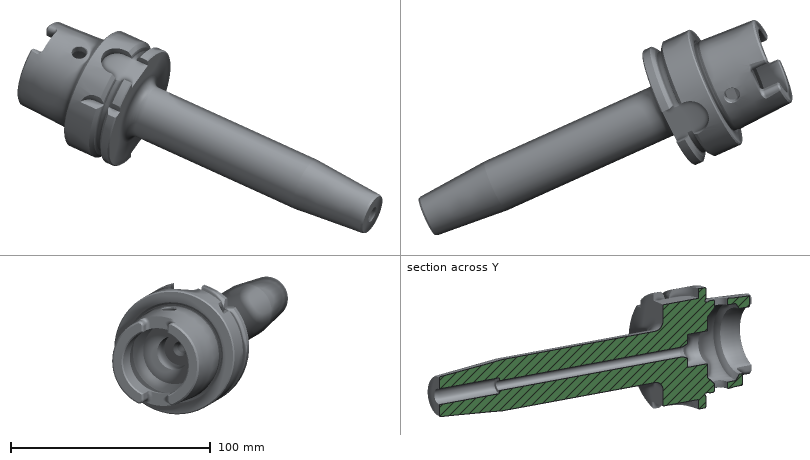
import math

import cadquery as cq


SHANK_LENGTH = 32.0
GAUGE_DIAMETER = 48.04
GAUGE_DISTANCE = 6.3
TAPER_RATIO = 0.1
SHANK_END_CHAMFER = 0.8
UNDERCUT_START = -2.4
UNDERCUT_RUN = 1.2
UNDERCUT_DEPTH = 0.4
UNDERCUT_FACE_RADIUS = 25.6
UNDERCUT_FACE_DEPTH = 0.5

FLANGE_RADIUS = 31.5
FLANGE_LENGTH = 26.0
FLANGE_CHAMFER = 0.6
GROOVE_CENTRE = 18.1
GROOVE_FLOOR_RADIUS = 27.5
GROOVE_FLOOR_WIDTH = 2.6
GROOVE_STEP_RADIUS = 29.4
GROOVE_STEP_WIDTH = 3.4
GROOVE_MOUTH_WIDTH = 6.8

NECK_RADIUS = 13.5
NECK_FILLET = 4.5
TOTAL_REACH = 160.0
NOSE_LENGTH = 38.0
NOSE_ANGLE = 4.5
NOSE_CHAMFER_LENGTH = 1.0
NOSE_CHAMFER_HEIGHT = 0.5

MOUTH_RADIUS = 17.0
MOUTH_CHAMFER = 0.6
MOUTH_END = -19.8
CLAMP_RADIUS = 20.0
CLAMP_ANGLE = 55.0
CAVITY_FLOOR = -1.0
CAVITY_FLOOR_RADIUS = 15.8
TUBE_THREAD_RADIUS = 16.92 / 2
TUBE_THREAD_DEPTH = 12.0

COOLANT_RADIUS = 4.92 / 2
COOLANT_MOUTH_RADIUS = 7.5 / 2
COOLANT_MOUTH_DEPTH = 3.0
TOOL_BORE_RADIUS = 4.0
TOOL_BORE_DEPTH = 36.0

DRIVE_SLOT_WIDTH = 12.54
DRIVE_SLOT_FLOOR_FILLET = 1.8
DRIVE_SLOT_CHAMFER = 0.8
UPPER_DRIVE_DEPTH = 6.0
LOWER_DRIVE_DEPTH = 10.0
DRIVE_FLARE_RADIUS = 2.3
DRIVE_FLARE_START = 18.6
DRIVE_FLARE_REACH = 12.0

CROSS_HOLE_X = -9.0
CROSS_HOLE_RADIUS = 7.5 / 2
CROSS_HOLE_CHAMFER = 0.5

UPPER_SLOT_WIDTH = 16.0
LOWER_SLOT_WIDTH = 18.0
FLANGE_SLOT_START = 4.8
FLANGE_SLOT_FLOOR = 26.5
NOTCH_OFFSET = 20.0
NOTCH_END_RADIUS = 7.0
NOTCH_END_CENTRE = 12.0

CLEARANCE = 1.0


def taper_radius(x):
    return GAUGE_DIAMETER / 2 + (x + GAUGE_DISTANCE) * TAPER_RATIO / 2


def revolved(points):
    return cq.Workplane("XY").polyline(points).close().revolve(360, (0, 0, 0), (1, 0, 0))


def make_body():
    shank_end = -SHANK_LENGTH
    undercut_radius = taper_radius(UNDERCUT_START) - UNDERCUT_DEPTH
    nose_start = TOTAL_REACH - NOSE_LENGTH
    nose_slope = math.tan(math.radians(NOSE_ANGLE))
    nose_edge_x = TOTAL_REACH - NOSE_CHAMFER_LENGTH
    nose_edge_radius = NECK_RADIUS - (nose_edge_x - nose_start) * nose_slope
    fillet_top = NECK_RADIUS + NECK_FILLET
    fillet_end = FLANGE_LENGTH + NECK_FILLET
    fillet_bend = NECK_FILLET * (1 - math.sqrt(0.5))
    front_outline = [
        (shank_end, 0),
        (shank_end, taper_radius(shank_end) - SHANK_END_CHAMFER),
        (shank_end + SHANK_END_CHAMFER, taper_radius(shank_end + SHANK_END_CHAMFER)),
        (UNDERCUT_START, taper_radius(UNDERCUT_START)),
        (UNDERCUT_START + UNDERCUT_RUN, undercut_radius),
        (UNDERCUT_FACE_DEPTH, undercut_radius),
        (UNDERCUT_FACE_DEPTH, UNDERCUT_FACE_RADIUS - 2 * UNDERCUT_FACE_DEPTH),
        (0, UNDERCUT_FACE_RADIUS),
        (0, FLANGE_RADIUS - FLANGE_CHAMFER),
        (FLANGE_CHAMFER, FLANGE_RADIUS),
        (GROOVE_CENTRE - GROOVE_MOUTH_WIDTH / 2, FLANGE_RADIUS),
        (GROOVE_CENTRE - GROOVE_STEP_WIDTH / 2, GROOVE_STEP_RADIUS),
        (GROOVE_CENTRE - GROOVE_FLOOR_WIDTH / 2, GROOVE_FLOOR_RADIUS),
        (GROOVE_CENTRE + GROOVE_FLOOR_WIDTH / 2, GROOVE_FLOOR_RADIUS),
        (GROOVE_CENTRE + GROOVE_STEP_WIDTH / 2, GROOVE_STEP_RADIUS),
        (GROOVE_CENTRE + GROOVE_MOUTH_WIDTH / 2, FLANGE_RADIUS),
        (FLANGE_LENGTH - FLANGE_CHAMFER, FLANGE_RADIUS),
        (FLANGE_LENGTH, FLANGE_RADIUS - FLANGE_CHAMFER),
        (FLANGE_LENGTH, fillet_top),
    ]
    return (
        cq.Workplane("XY")
        .polyline(front_outline)
        .threePointArc((FLANGE_LENGTH + fillet_bend, NECK_RADIUS + fillet_bend), (fillet_end, NECK_RADIUS))
        .lineTo(nose_start, NECK_RADIUS)
        .lineTo(nose_edge_x, nose_edge_radius)
        .lineTo(TOTAL_REACH, nose_edge_radius - NOSE_CHAMFER_HEIGHT)
        .lineTo(TOTAL_REACH, 0)
        .close()
        .revolve(360, (0, 0, 0), (1, 0, 0))
    )


def make_cavity():
    shank_end = -SHANK_LENGTH
    clamp_run = (CLAMP_RADIUS - MOUTH_RADIUS) / math.tan(math.radians(CLAMP_ANGLE))
    thread_floor = CAVITY_FLOOR + TUBE_THREAD_DEPTH
    coolant_start = thread_floor + COOLANT_MOUTH_DEPTH
    bore_start = TOTAL_REACH - TOOL_BORE_DEPTH
    return revolved([
        (shank_end, 0),
        (shank_end, MOUTH_RADIUS + MOUTH_CHAMFER),
        (shank_end + MOUTH_CHAMFER, MOUTH_RADIUS),
        (MOUTH_END, MOUTH_RADIUS),
        (MOUTH_END + clamp_run, CLAMP_RADIUS),
        (CAVITY_FLOOR - CLAMP_RADIUS + CAVITY_FLOOR_RADIUS, CLAMP_RADIUS),
        (CAVITY_FLOOR, CAVITY_FLOOR_RADIUS),
        (CAVITY_FLOOR, TUBE_THREAD_RADIUS),
        (thread_floor, TUBE_THREAD_RADIUS),
        (thread_floor, COOLANT_MOUTH_RADIUS),
        (coolant_start, COOLANT_RADIUS),
        (bore_start, COOLANT_RADIUS),
        (bore_start, TOOL_BORE_RADIUS),
        (TOTAL_REACH, TOOL_BORE_RADIUS),
        (TOTAL_REACH, 0),
    ])


def drive_slot_outline(plane):
    """Slot cross-section towards +Z: upright walls that round outwards near the shank surface."""
    half_width = DRIVE_SLOT_WIDTH / 2
    flare_half = half_width + DRIVE_FLARE_RADIUS
    flare_top = DRIVE_FLARE_START + DRIVE_FLARE_RADIUS
    bend = DRIVE_FLARE_RADIUS * (1 - math.sqrt(0.5))
    return (
        cq.Workplane(plane)
        .moveTo(-half_width, 0)
        .lineTo(-half_width, DRIVE_FLARE_START)
        .threePointArc((-half_width - bend, flare_top - bend), (-flare_half, flare_top))
        .lineTo(-DRIVE_FLARE_REACH, flare_top)
        .lineTo(-DRIVE_FLARE_REACH, FLANGE_RADIUS)
        .lineTo(DRIVE_FLARE_REACH, FLANGE_RADIUS)
        .lineTo(DRIVE_FLARE_REACH, flare_top)
        .lineTo(flare_half, flare_top)
        .threePointArc((half_width + bend, flare_top - bend), (half_width, DRIVE_FLARE_START))
        .lineTo(half_width, 0)
        .close()
    )


def make_drive_slot(depth):
    """Slot of the given depth into the shank end on +Z, with a filleted floor and chamfered mouth."""
    floor_x = -SHANK_LENGTH + depth
    chamfer_x = -SHANK_LENGTH + DRIVE_SLOT_CHAMFER
    floor_plane = cq.Plane(origin=(floor_x, 0, 0), xDir=(0, -1, 0), normal=(-1, 0, 0))
    chamfer_plane = cq.Plane(origin=(chamfer_x, 0, 0), xDir=(0, -1, 0), normal=(-1, 0, 0))
    slot = drive_slot_outline(floor_plane).extrude(depth)
    slot = slot.faces(">X").edges("(not <Z) and (not >Z)").fillet(DRIVE_SLOT_FLOOR_FILLET)
    mouth = drive_slot_outline(chamfer_plane).extrude(DRIVE_SLOT_CHAMFER, taper=-45)
    return slot.union(mouth)


def make_cross_hole():
    """Hole along Z through both shank walls, with countersunk mouths."""
    surface = taper_radius(CROSS_HOLE_X)
    mouth = CROSS_HOLE_RADIUS + CROSS_HOLE_CHAMFER
    outline = [
        (0, -FLANGE_RADIUS),
        (mouth, -FLANGE_RADIUS),
        (mouth, -surface),
        (CROSS_HOLE_RADIUS, -surface + CROSS_HOLE_CHAMFER),
        (CROSS_HOLE_RADIUS, surface - CROSS_HOLE_CHAMFER),
        (mouth, surface),
        (mouth, FLANGE_RADIUS),
        (0, FLANGE_RADIUS),
    ]
    hole = cq.Workplane("XZ").polyline(outline).close().revolve(360, (0, 0, 0), (0, 1, 0))
    return hole.translate((CROSS_HOLE_X, 0, 0))


def make_flange_slot(width):
    """Flat-floored slot on +Z, round at its front end and open at the rear flange face."""
    radius = width / 2
    centre = FLANGE_SLOT_START + radius
    end = FLANGE_LENGTH + CLEARANCE
    return (
        cq.Workplane("XY", origin=(0, 0, FLANGE_SLOT_FLOOR))
        .moveTo(centre, radius)
        .threePointArc((FLANGE_SLOT_START, 0), (centre, -radius))
        .lineTo(end, -radius)
        .lineTo(end, radius)
        .close()
        .extrude(FLANGE_RADIUS - FLANGE_SLOT_FLOOR + CLEARANCE)
    )


def make_notch():
    """Corner notch towards -Y and +Z with one level floor and one upright wall."""
    centre_y = -NOTCH_OFFSET - NOTCH_END_RADIUS
    outer_y = -FLANGE_RADIUS - CLEARANCE
    end = FLANGE_LENGTH + CLEARANCE
    tip_x = NOTCH_END_CENTRE - NOTCH_END_RADIUS
    bend = NOTCH_END_RADIUS * math.sqrt(0.5)
    return (
        cq.Workplane("XY", origin=(0, 0, NOTCH_OFFSET))
        .moveTo(NOTCH_END_CENTRE, -NOTCH_OFFSET)
        .threePointArc((NOTCH_END_CENTRE - bend, centre_y + bend), (tip_x, centre_y))
        .lineTo(tip_x, outer_y)
        .lineTo(end, outer_y)
        .lineTo(end, -NOTCH_OFFSET)
        .close()
        .extrude(FLANGE_RADIUS - NOTCH_OFFSET)
    )


result = (
    make_body()
    .cut(make_cavity())
    .cut(make_drive_slot(UPPER_DRIVE_DEPTH))
    .cut(make_drive_slot(LOWER_DRIVE_DEPTH).mirror("XY"))
    .cut(make_cross_hole())
    .cut(make_flange_slot(UPPER_SLOT_WIDTH))
    .cut(make_flange_slot(LOWER_SLOT_WIDTH).mirror("XY"))
    .cut(make_notch())
)